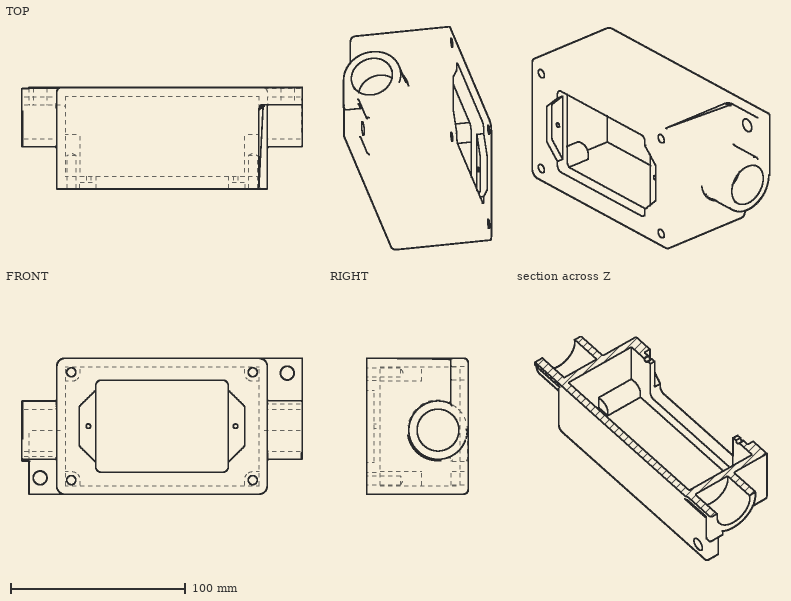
import cadquery as cq
total_length = 161.2
depth = 58.3
height = 78.2
front_y = -depth / 2
back_y = depth / 2

body_length = 120.9
corner_radius = 4.8
back_edge_radius = 2.9
front_edge_radius = 0.5
wall = 5.0

plate_thickness = 7.4
opening_width = 76.0
opening_height = 52.9
opening_corner_radius = 3.2
ear_span = 94.8
ear_depth = 4.0
ear_inner_height = 41.3
ear_outer_height = 22.9
ear_corner_radius = 1.3
ear_hole_spacing = 84.5
ear_hole_diameter = 2.5

screw_spacing_x = 104.1
screw_spacing_z = 61.9
screw_hole_diameter = 5.2
screw_hole_depth = 19.3
screw_tip_length = 1.5
post_radius = 5.0
post_depth = 31.5

hub_radius = 16.8
hub_z = -2.3
hub_to_back = 17.4
hub_y = back_y - hub_to_back
hub_length = (total_length - body_length) / 2
hub_bore_diameter = 24.0
hub_edge_radius = 0.8
foot_z = -20.0

lug_thickness = 10.0
left_lug_end = -76.4
right_lug_end = total_length / 2
lug_edge_radius = 0.5
root_fillet = 0.8
lug_hole_diameter = 7.7
left_lug_hole = (-70.0, -29.7)
right_lug_hole = (71.9, 30.5)


def block(x_range, y_range, z_range):
    """Box between the given limits, each range in any order."""
    sizes = [abs(b - a) for a, b in (x_range, y_range, z_range)]
    middle = [(a + b) / 2 for a, b in (x_range, y_range, z_range)]
    return cq.Workplane("XY").box(*sizes).translate(tuple(middle))


def looking_back(y):
    """XZ sketch plane at the given Y; positive extrusion runs towards the back."""
    return cq.Workplane(cq.Plane(origin=(0, y, 0), xDir=(-1, 0, 0), normal=(0, 1, 0)))


def across_hub(x):
    """Sketch plane square to the hub axis and centred on it; extrudes towards +X."""
    return cq.Workplane(cq.Plane(origin=(x, hub_y, hub_z), xDir=(0, 0, 1), normal=(1, 0, 0)))


def rounded_body():
    body = block(
        (-body_length / 2, body_length / 2), (front_y, back_y), (-height / 2, height / 2)
    )
    body = body.edges("|Y").fillet(corner_radius)
    body = body.faces(">Y").edges().fillet(back_edge_radius)
    return body.faces("<Y").edges().fillet(front_edge_radius)


def lug(end_x, outer_z, inner_z):
    """Mounting lug flush with the back, reaching into the body far enough to square its corner."""
    side = 1 if end_x > 0 else -1
    root_x = side * (body_length / 2 - 2 * corner_radius)
    plate = block((root_x, end_x), (back_y - lug_thickness, back_y), (inner_z, outer_z))
    outer_edge = ">Z" if outer_z > inner_z else "<Z"
    plate = plate.faces(">Y").edges(outer_edge).fillet(back_edge_radius)
    end_face = ">X" if side > 0 else "<X"
    return plate.faces(end_face).edges().fillet(lug_edge_radius)


def hub(side, foot_end_z, foot_back_y):
    """Round conduit hub with a flat-backed foot that joins it to the neighbouring lug."""
    root_x = side * (body_length / 2 - wall)
    end_x = side * total_length / 2
    barrel = across_hub(root_x).circle(hub_radius).extrude(end_x - root_x)
    foot = block((root_x, end_x), (back_y - lug_thickness, foot_back_y), (hub_z, foot_end_z))
    end_face = ">X" if side > 0 else "<X"
    return barrel.union(foot).faces(end_face).edges().fillet(hub_edge_radius)


def soften_roots(part, side):
    """Fillet the inside corners where one hub and its lug meet the end wall of the body."""
    wall_x = side * body_length / 2
    margin = 0.2
    reach_z = height / 2 - corner_radius - margin
    root_edges = cq.selectors.BoxSelector(
        (wall_x - margin, 0, -reach_z),
        (wall_x + margin, back_y - lug_thickness + margin, reach_z),
    )
    return part.edges(root_edges).fillet(root_fillet)


def hub_bore(side):
    """Blind bore as deep as the hub is long."""
    bore = across_hub(side * total_length / 2).circle(hub_bore_diameter / 2)
    return bore.extrude(-side * hub_length)


def cavity():
    """Inside space behind the front plate, less the four corner posts."""
    half_x = body_length / 2 - wall
    half_z = height / 2 - wall
    plate_back_y = front_y + plate_thickness
    space = block((-half_x, half_x), (plate_back_y, back_y - wall), (-half_z, half_z))
    post_y = (plate_back_y, front_y + post_depth)
    for side_x in (-1, 1):
        for side_z in (-1, 1):
            inner_x = side_x * (screw_spacing_x / 2 - post_radius)
            inner_z = side_z * (screw_spacing_z / 2 - post_radius)
            post = block((inner_x, side_x * half_x), post_y, (inner_z, side_z * half_z))
            inner_face = "<X" if side_x > 0 else ">X"
            inner_edge = "<Z" if side_z > 0 else ">Z"
            post = post.faces(inner_face).edges(inner_edge).fillet(post_radius)
            space = space.cut(post)
    return space


def front_opening():
    """Rectangular opening through the plate and the tapered ear recess across it."""
    opening = (
        looking_back(front_y)
        .rect(opening_width, opening_height)
        .extrude(plate_thickness)
        .edges("|Y")
        .fillet(opening_corner_radius)
    )
    inner_x = opening_width / 2
    outer_x = ear_span / 2
    inner_z = ear_inner_height / 2
    outer_z = ear_outer_height / 2
    ears = (
        looking_back(front_y)
        .polyline([
            (inner_x, inner_z), (outer_x, outer_z), (outer_x, -outer_z), (inner_x, -inner_z),
            (-inner_x, -inner_z), (-outer_x, -outer_z), (-outer_x, outer_z), (-inner_x, inner_z),
        ])
        .close()
        .extrude(ear_depth)
    )
    for end_face in ("<X", ">X"):
        ears = ears.faces(end_face).edges("|Y").fillet(ear_corner_radius)
    return opening.union(ears)


def ear_holes():
    return (
        looking_back(front_y)
        .pushPoints([(-ear_hole_spacing / 2, 0), (ear_hole_spacing / 2, 0)])
        .circle(ear_hole_diameter / 2)
        .extrude(plate_thickness)
    )


def screw_hole(x, z):
    """Blind cover screw hole with a drill-point bottom."""
    radius = screw_hole_diameter / 2
    return (
        cq.Workplane("XY")
        .polyline([
            (0, 0), (radius, 0), (radius, screw_hole_depth), (0, screw_hole_depth + screw_tip_length),
        ])
        .close()
        .revolve(360, (0, 0, 0), (0, 1, 0))
        .translate((x, front_y, z))
    )


def lug_hole(centre):
    x, z = centre
    return (
        cq.Workplane("XZ", origin=(x, back_y, z))
        .circle(lug_hole_diameter / 2)
        .extrude(lug_thickness)
    )


hub_back_y = hub_y + hub_radius
result = rounded_body()
result = result.union(lug(left_lug_end, -height / 2, hub_z))
result = result.union(lug(right_lug_end, height / 2, hub_z))
result = result.union(hub(-1, foot_z, hub_back_y))
result = result.union(hub(1, -foot_z, hub_back_y))
for side in (-1, 1):
    result = soften_roots(result, side)
result = result.cut(cavity()).cut(front_opening()).cut(ear_holes())
for side in (-1, 1):
    result = result.cut(hub_bore(side))
    for level in (-1, 1):
        result = result.cut(screw_hole(side * screw_spacing_x / 2, level * screw_spacing_z / 2))
for centre in (left_lug_hole, right_lug_hole):
    result = result.cut(lug_hole(centre))